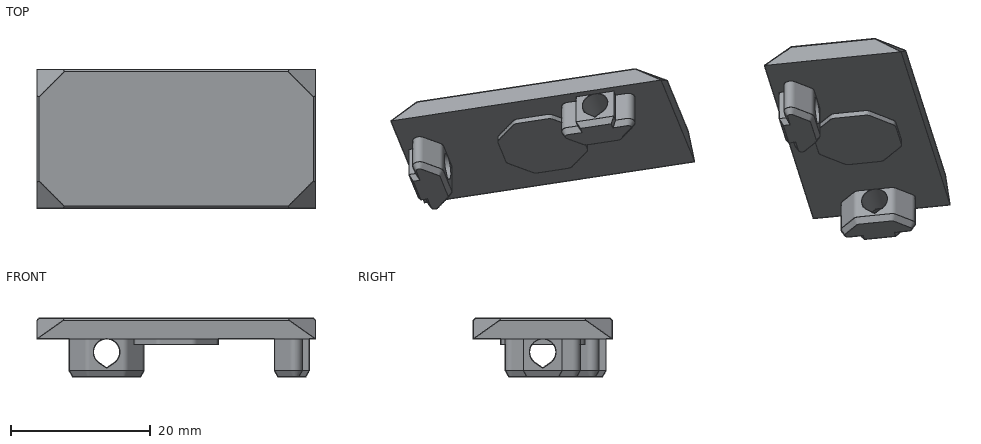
import cadquery as cq
import math

plate_length = 39.9
plate_width = 19.9
plate_thickness = 3.0
top_edge_chamfer = 0.3

pad_half_width = 6.02
pad_flat_half = 2.65
pad_thickness = 0.8

post_half_width = 5.4
post_flat_half = 2.8
post_depth = 5.03
post_height = 5.43
post_edge_inset = 0.88
post_offset_x = -9.98
neck_depth = 1.0
neck_half_width = post_flat_half
tip_chamfer_height = 0.9
tip_chamfer_width = 0.5
corner_radius = 1.0

hole_radius = 1.88
hole_tip_depth = 4.15


def make_plate():
    """Plate with chamfered top edges and four 45-degree corner cuts."""
    plate = cq.Workplane("XY").rect(plate_length, plate_width).extrude(plate_thickness)
    plate = plate.faces(">Z").edges().chamfer(top_edge_chamfer)

    for side_x in (1, -1):
        for side_y in (1, -1):
            corner = (side_x * plate_length / 2, side_y * plate_width / 2, 0)
            outward = (side_x, side_y, math.sqrt(2))
            cut_plane = cq.Plane(origin=corner, normal=outward)
            cutter = cq.Workplane(cut_plane).rect(plate_length, plate_length).extrude(plate_length)
            plate = plate.cut(cutter)
    return plate


def make_pad():
    """Rounded octagon standing below the plate."""
    side = 2 * pad_half_width
    corner_cut = pad_half_width - pad_flat_half
    pad = cq.Workplane("XY").rect(side, side).extrude(-pad_thickness)
    pad = pad.edges("|Z").chamfer(corner_cut)
    return pad.edges("|Z").fillet(corner_radius)


def make_teardrop():
    """Teardrop bar along Y, centred on the YZ plane."""
    tip_distance = hole_tip_depth - hole_radius
    touch_angle = math.acos(hole_radius / tip_distance)
    touch_x = hole_radius * math.sin(touch_angle)
    touch_z = -hole_radius - hole_radius * math.cos(touch_angle)
    return (
        cq.Workplane("XZ")
        .moveTo(touch_x, touch_z)
        .threePointArc((0, 0), (-touch_x, touch_z))
        .lineTo(0, -hole_tip_depth)
        .close()
        .extrude(2 * post_depth, both=True)
    )


def add_tapered_tip(block):
    """Lengthen a straight block with a tip that narrows toward its free end."""
    tip_taper = math.degrees(math.atan(tip_chamfer_width / tip_chamfer_height))
    outline = block.faces("<Z").wires().toPending().workplane()
    tip = outline.extrude(tip_chamfer_height, taper=tip_taper, combine=False)
    return block.union(tip)


def make_post():
    """Post with its flat inner face on Y = 0 and its neck toward +Y."""
    body_depth = post_depth - neck_depth
    corner_cut = post_half_width - post_flat_half
    straight_height = post_height - tip_chamfer_height

    body = (
        cq.Workplane("XY")
        .rect(2 * post_half_width, body_depth)
        .extrude(-straight_height)
        .translate((0, body_depth / 2, 0))
    )
    body = body.edges("|Z and <Y").chamfer(corner_cut)
    body = body.edges("|Z").fillet(corner_radius)

    neck = (
        cq.Workplane("XY")
        .rect(2 * neck_half_width, post_depth - corner_cut)
        .extrude(-straight_height)
        .translate((0, (post_depth + corner_cut) / 2, 0))
    )
    post = add_tapered_tip(body).union(add_tapered_tip(neck)).clean()
    return post.cut(make_teardrop())


inner_face_y = plate_width / 2 - post_edge_inset - post_depth
inner_face_x = plate_length / 2 - post_edge_inset - post_depth
back_post = make_post().translate((post_offset_x, inner_face_y, 0))
right_post = make_post().rotate((0, 0, 0), (0, 0, 1), -90).translate((inner_face_x, 0, 0))

result = make_plate().union(make_pad()).union(back_post).union(right_post)